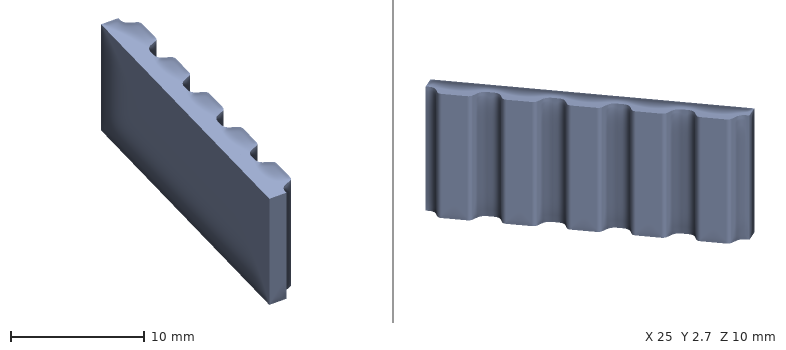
import math
import cadquery as cq

pitch = 5.0
tooth_count = 5
belt_width = 10.0
total_thickness = 2.7
tooth_height = 1.2
tip_width = 2.5
flank_angle = 50.0
tip_radius = 0.4
root_radius = 0.7
selection_margin = 0.05

belt_length = tooth_count * pitch
back_thickness = total_thickness - tooth_height
flank_run = tooth_height * math.tan(math.radians(flank_angle / 2))
root_width = tip_width + 2 * flank_run


def make_back():
    """Flat backing strip with one corner at the origin."""
    return cq.Workplane("XY").box(belt_length, back_thickness, belt_width, centered=False)


def make_tooth(center_x):
    """One trapezoidal tooth with rounded tip corners, standing on the back."""
    tooth = (
        cq.Workplane("XY")
        .moveTo(center_x - root_width / 2, back_thickness)
        .lineTo(center_x - tip_width / 2, total_thickness)
        .lineTo(center_x + tip_width / 2, total_thickness)
        .lineTo(center_x + root_width / 2, back_thickness)
        .close()
        .extrude(belt_width)
    )
    return tooth.faces(">Y").edges("|Z").fillet(tip_radius)


def round_roots(sharp_belt):
    """Fillet the corners where the tooth flanks meet the back, leaving the belt ends square."""
    root_zone = cq.selectors.BoxSelector(
        (selection_margin, back_thickness - selection_margin, 0),
        (belt_length - selection_margin, back_thickness + selection_margin, belt_width),
    )
    return sharp_belt.edges("|Z").edges(root_zone).fillet(root_radius)


belt = make_back()
for index in range(tooth_count):
    belt = belt.union(make_tooth((index + 0.5) * pitch))

result = round_roots(belt)